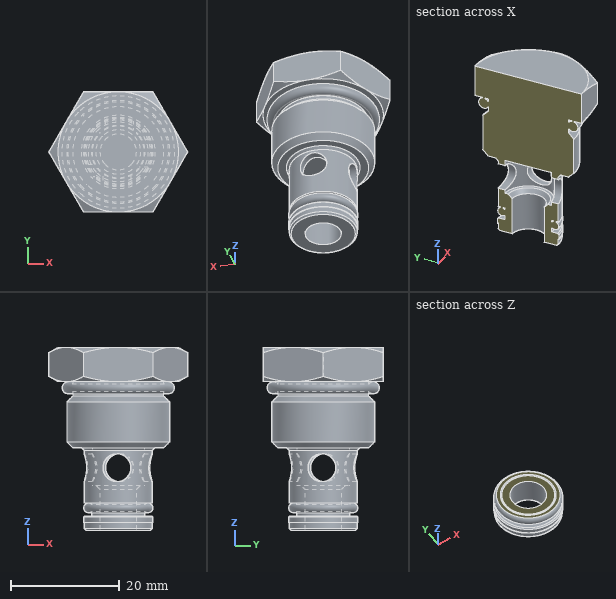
import cadquery as cq
import math

HEX_FLATS = 22.23
HEX_CORNERS = HEX_FLATS / math.cos(math.radians(30))
TOP_Z = 33.83
HEAD_BOTTOM_Z = 27.47
HEAD_CHAMFER_ANGLE = 30.0

NECK_DIAMETER = 16.78
BODY_DIAMETER = 19.05
BODY_CHAMFER = (BODY_DIAMETER - NECK_DIAMETER) / 2
BODY_TOP_Z = 24.85
BODY_BOTTOM_Z = 15.25

STEM_DIAMETER = 12.6
STEM_SHOULDER = 0.5
GROOVE_DIAMETER = 9.85
GROOVE_TOP_Z = 5.07
GROOVE_BOTTOM_Z = 2.7
LAND_DIAMETER = 12.82
LAND_CHAMFER = 0.25
LAND_BOTTOM_Z = 1.45
TIP_CHAMFER = 0.37

HEAD_RING_OUTER = 20.77
HEAD_RING_SECTION = 2.23
STEM_RING_OUTER = 12.82
STEM_RING_SECTION = 1.8

HOLE_DIAMETER = 5.15
HOLE_Z = 11.6
HOLE_TURN = -2.7

PORT_DIAMETER = 6.65
SEAT_DIAMETER = 8.25
SEAT_DEPTH = (SEAT_DIAMETER - PORT_DIAMETER) / 2
CHAMBER_DIAMETER = 9.6
CHAMBER_FLOOR_Z = 8.35
CHAMBER_TOP_Z = BODY_BOTTOM_Z


def revolved(profile):
    """Solid of revolution about Z from (radius, z) points."""
    return cq.Workplane("XZ").polyline(profile).close().revolve(360, (0, 0), (0, 1))


def hex_head():
    """Hexagon with its corners turned off by a cone at both ends."""
    height = TOP_Z - HEAD_BOTTOM_Z
    prism = cq.Workplane("XY", origin=(0, 0, HEAD_BOTTOM_Z)).polygon(6, HEX_CORNERS).extrude(height)
    flat_radius = HEX_FLATS / 2
    corner_radius = HEX_CORNERS / 2
    drop = (corner_radius - flat_radius) * math.tan(math.radians(HEAD_CHAMFER_ANGLE))
    envelope = revolved(
        [
            (0, HEAD_BOTTOM_Z),
            (flat_radius, HEAD_BOTTOM_Z),
            (corner_radius, HEAD_BOTTOM_Z + drop),
            (corner_radius, TOP_Z - drop),
            (flat_radius, TOP_Z),
            (0, TOP_Z),
        ]
    )
    return prism.intersect(envelope)


def turned_shank():
    """Neck, body, stem, seal groove and tip as one revolved profile."""
    neck = NECK_DIAMETER / 2
    body = BODY_DIAMETER / 2
    stem = STEM_DIAMETER / 2
    groove = GROOVE_DIAMETER / 2
    land = LAND_DIAMETER / 2
    profile = [
        (0, HEAD_BOTTOM_Z),
        (neck, HEAD_BOTTOM_Z),
        (neck, BODY_TOP_Z),
        (body, BODY_TOP_Z - BODY_CHAMFER),
        (body, BODY_BOTTOM_Z + BODY_CHAMFER),
        (neck, BODY_BOTTOM_Z),
        (stem + STEM_SHOULDER, BODY_BOTTOM_Z),
        (stem, BODY_BOTTOM_Z - STEM_SHOULDER),
        (stem, GROOVE_TOP_Z),
        (groove, GROOVE_TOP_Z),
        (groove, GROOVE_BOTTOM_Z),
        (land - LAND_CHAMFER, GROOVE_BOTTOM_Z),
        (land, GROOVE_BOTTOM_Z - LAND_CHAMFER),
        (land, LAND_BOTTOM_Z),
        (stem, LAND_BOTTOM_Z),
        (stem, TIP_CHAMFER),
        (stem - TIP_CHAMFER, 0),
        (0, 0),
    ]
    return revolved(profile)


def o_ring(outer_diameter, section, top_z):
    """Round-section ring whose top touches the face at top_z."""
    outer = outer_diameter / 2
    half = section / 2
    centre = outer - half
    middle_z = top_z - half
    return (
        cq.Workplane("XZ")
        .moveTo(centre, top_z)
        .threePointArc((outer, middle_z), (centre, top_z - section))
        .threePointArc((centre - half, middle_z), (centre, top_z))
        .close()
        .revolve(360, (0, 0), (0, 1), clean=False)
    )


def cross_holes():
    """Two through holes at right angles, turned slightly about the axis."""
    hole = cq.Workplane("XZ").circle(HOLE_DIAMETER / 2).extrude(STEM_DIAMETER, both=True)
    hole = hole.translate((0, 0, HOLE_Z))
    holes = cq.Workplane("XY")
    for quarter in range(2):
        holes = holes.add(hole.rotate((0, 0, 0), (0, 0, 1), HOLE_TURN + 90 * quarter))
    return holes.combine()


def stepped_bore():
    """Port, 45 degree seat and blind chamber as one revolved profile."""
    port = PORT_DIAMETER / 2
    seat = SEAT_DIAMETER / 2
    chamber = CHAMBER_DIAMETER / 2
    profile = [
        (0, 0),
        (port, 0),
        (port, CHAMBER_FLOOR_Z - SEAT_DEPTH),
        (seat, CHAMBER_FLOOR_Z),
        (chamber, CHAMBER_FLOOR_Z),
        (chamber, CHAMBER_TOP_Z),
        (0, CHAMBER_TOP_Z),
    ]
    return revolved(profile)


result = (
    hex_head()
    .union(turned_shank())
    .union(o_ring(HEAD_RING_OUTER, HEAD_RING_SECTION, HEAD_BOTTOM_Z), clean=False)
    .union(o_ring(STEM_RING_OUTER, STEM_RING_SECTION, GROOVE_TOP_Z), clean=False)
    .cut(cross_holes(), clean=False)
    .cut(stepped_bore(), clean=False)
)